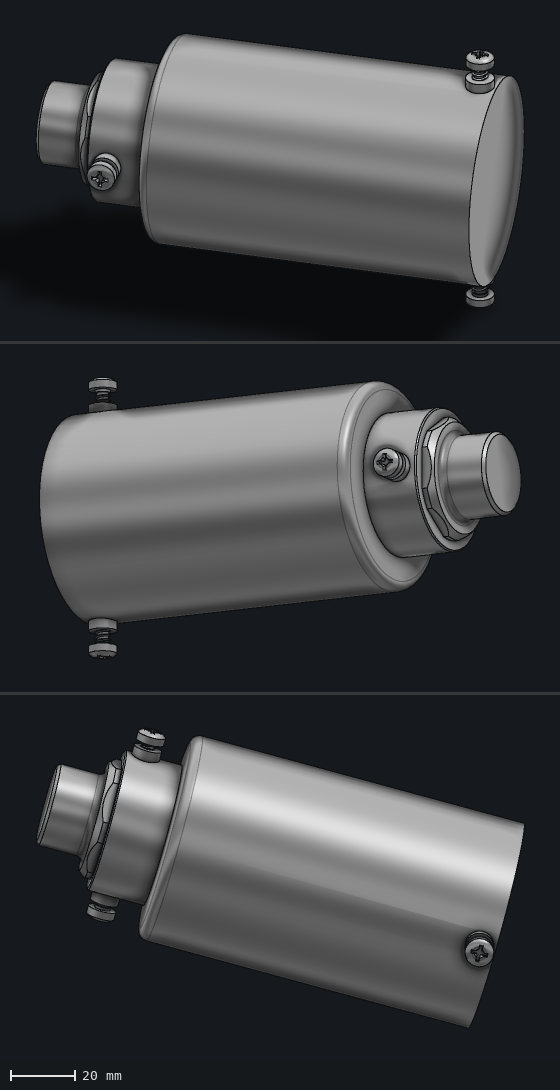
import cadquery as cq
import math

total_length = 145.3
stem_radius = 13.2
stem_length = 13.1
tip_chamfer = 1.0
flare_radius = 15.0
nut_start = 15.3
neck_start = 19.2
neck_radius = 22.7
neck_edge_chamfer = 0.5
body_start = 37.5
body_radius = 33.1
body_front_rise = 0.7
body_front_fillet = 3.0

nut_across_flats = 36.3
nut_corner_radius = 19.3
nut_face_radius = 17.6
nut_chamfer_length = 2.2

screw_radius = 4.5
screw_head_height = 3.6
screw_crown_height = 1.2
screw_top_radius = 2.2
screw_core_radius = 1.9
screw_shoulder_radius = 2.5
screw_shoulder_height = 0.9
thread_pitch = 1.5
thread_depth = 0.65
thread_root_width = 0.9
thread_overlap = 0.1
thread_end_gap = 0.3
ring_height = 2.9
ring_embed = 1.5

recess_depth = 1.7
recess_span = 5.2
recess_slot_width = 1.0
recess_core_span = 4.0
recess_taper = 15

neck_screw_x = 25.7
neck_screw_top = 31.2
body_screw_x = 139.9
body_screw_top = 44.5


def make_core():
    """Stem, flare, neck and main body as one revolved profile."""
    flare_length = nut_start - stem_length
    rounding_start = body_start + body_front_rise
    arc_share = math.sqrt(0.5)
    flare_rise = flare_radius - stem_radius
    flare_mid = (
        stem_length + flare_length * arc_share,
        stem_radius + flare_rise * (1 - arc_share),
    )
    return (
        cq.Workplane("XY")
        .lineTo(0, stem_radius - tip_chamfer)
        .lineTo(tip_chamfer, stem_radius)
        .lineTo(stem_length, stem_radius)
        .threePointArc(flare_mid, (nut_start, flare_radius))
        .lineTo(neck_start, flare_radius)
        .lineTo(neck_start, neck_radius - neck_edge_chamfer)
        .lineTo(neck_start + neck_edge_chamfer, neck_radius)
        .lineTo(body_start, neck_radius)
        .lineTo(rounding_start, body_radius - body_front_fillet)
        .radiusArc((rounding_start + body_front_fillet, body_radius), body_front_fillet)
        .lineTo(total_length, body_radius)
        .lineTo(total_length, 0)
        .close()
        .revolve(360, (0, 0, 0), (1, 0, 0))
    )


def make_nut():
    """Hexagon trimmed by a cylinder at its corners and a cone at its face."""
    hexagon = (
        cq.Workplane("YZ", origin=(nut_start, 0, 0))
        .transformed(rotate=(0, 0, 30))
        .polygon(6, nut_across_flats / math.cos(math.pi / 6))
        .extrude(neck_start - nut_start)
    )
    envelope = (
        cq.Workplane("XY")
        .moveTo(nut_start, 0)
        .lineTo(nut_start, nut_face_radius)
        .lineTo(nut_start + nut_chamfer_length, nut_corner_radius)
        .lineTo(neck_start, nut_corner_radius)
        .lineTo(neck_start, 0)
        .close()
        .revolve(360, (0, 0, 0), (1, 0, 0))
    )
    return hexagon.intersect(envelope)


def make_thread(start, end):
    """Triangular thread ridge wound along Z from start to end."""
    root_radius = screw_core_radius - thread_overlap
    path = cq.Wire.makeHelix(thread_pitch, end - start, root_radius, cq.Vector(0, 0, start))
    return (
        cq.Workplane("XZ")
        .moveTo(root_radius, start - thread_root_width / 2)
        .lineTo(screw_core_radius + thread_depth, start)
        .lineTo(root_radius, start + thread_root_width / 2)
        .close()
        .sweep(cq.Workplane(obj=path), isFrenet=True)
    )


def make_recess(top):
    """Cross slots around a tapered square centre whose corners point along the slots."""
    bottom = cq.Workplane("XY", origin=(0, 0, top - recess_depth))
    slot = bottom.rect(recess_span, recess_slot_width).extrude(recess_depth)
    cross = slot.union(slot.rotate((0, 0, 0), (0, 0, 1), 90))
    centre = (
        cq.Workplane("XY", origin=(0, 0, top))
        .polygon(4, recess_core_span)
        .extrude(-recess_depth, taper=recess_taper)
    )
    return cross.union(centre)


def make_screw(top, seat_radius):
    """Screw with a domed head over a round ring that sits on a cylinder of seat_radius."""
    head_bottom = top - screw_head_height
    rim = top - screw_crown_height
    shoulder_bottom = head_bottom - screw_shoulder_height
    ring_top = seat_radius + ring_height
    ring_bottom = seat_radius - ring_embed
    dome_width = screw_radius - screw_top_radius
    dome_radius = (dome_width**2 + screw_crown_height**2) / (2 * screw_crown_height)
    turned = (
        cq.Workplane("XZ")
        .moveTo(0, ring_bottom)
        .lineTo(screw_radius, ring_bottom)
        .lineTo(screw_radius, ring_top)
        .lineTo(screw_core_radius, ring_top)
        .lineTo(screw_core_radius, shoulder_bottom)
        .lineTo(screw_shoulder_radius, shoulder_bottom)
        .lineTo(screw_shoulder_radius, head_bottom)
        .lineTo(screw_radius, head_bottom)
        .lineTo(screw_radius, rim)
        .radiusArc((screw_top_radius, top), -dome_radius)
        .lineTo(0, top)
        .close()
        .revolve(360, (0, 0, 0), (0, 1, 0))
    )
    thread_end = shoulder_bottom - thread_end_gap
    thread_turns = math.ceil((thread_end - ring_top) / thread_pitch)
    thread = make_thread(thread_end - thread_turns * thread_pitch, thread_end)
    return turned.union(thread).cut(make_recess(top))


def place_screw(screw, x, angle):
    """Turn a screw about the part axis and move it to its station."""
    return screw.rotate((0, 0, 0), (1, 0, 0), angle).translate((x, 0, 0))


result = make_core().union(make_nut())

body_screw = make_screw(body_screw_top, body_radius)
for angle in (0, 180):
    result = result.union(place_screw(body_screw, body_screw_x, angle))

neck_screw = make_screw(neck_screw_top, neck_radius)
for angle in (90, 270):
    result = result.union(place_screw(neck_screw, neck_screw_x, angle))